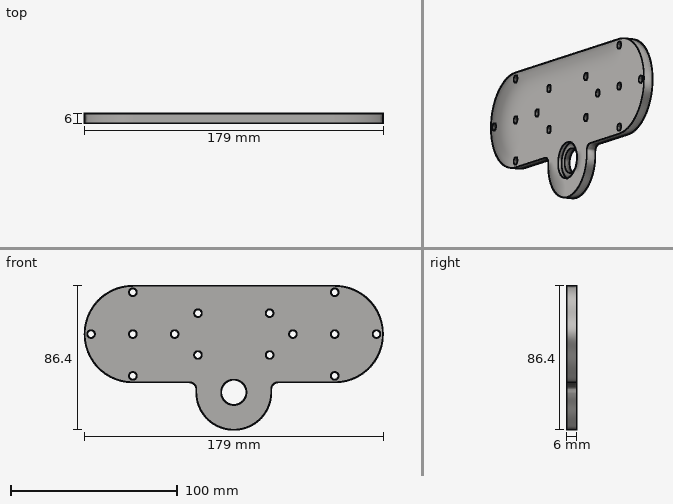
import cadquery as cq

length = 179.0
end_radius = 29.0
thickness = 6.0
end_center_x = length / 2 - end_radius

tab_radius = 22.5
tab_center_z = -34.9
tab_bore_diameter = 15.0
tab_fillet_radius = 4.0

recess_diameter = 22.0
recess_depth = 2.5

hole_diameter = 4.5
end_hole_offset = 25.0
inner_hole_x = 21.5
inner_hole_z = 12.5


def extrude_back(sketch):
    """Extrude an XZ sketch from Y = 0 to Y = thickness."""
    return sketch.extrude(-thickness)


def make_plate():
    return extrude_back(cq.Workplane("XZ").slot2D(length, 2 * end_radius))


def make_tab():
    """Round tab whose straight sides run up into the plate."""
    outline = (
        cq.Workplane("XZ")
        .moveTo(-tab_radius, 0)
        .lineTo(-tab_radius, tab_center_z)
        .threePointArc((0, tab_center_z - tab_radius), (tab_radius, tab_center_z))
        .lineTo(tab_radius, 0)
        .close()
    )
    return extrude_back(outline)


def fillet_tab_roots(body):
    """Round the two inside corners where the tab meets the plate."""
    for x in (-tab_radius, tab_radius):
        corner = cq.selectors.NearestToPointSelector((x, thickness / 2, -end_radius))
        body = body.edges("|Y").edges(corner).fillet(tab_fillet_radius)
    return body


def small_hole_centers():
    centers = []
    for side in (-1, 1):
        x = side * end_center_x
        centers.append((x, 0))
        for offset in (-end_hole_offset, end_hole_offset):
            centers.append((x + offset, 0))
            centers.append((x, offset))
        for z in (-inner_hole_z, inner_hole_z):
            centers.append((side * inner_hole_x, z))
    return centers


small_holes = extrude_back(
    cq.Workplane("XZ").pushPoints(small_hole_centers()).circle(hole_diameter / 2)
)
tab_bore = extrude_back(
    cq.Workplane("XZ").center(0, tab_center_z).circle(tab_bore_diameter / 2)
)
tab_recess = (
    cq.Workplane("XZ", origin=(0, thickness, tab_center_z))
    .circle(recess_diameter / 2)
    .extrude(recess_depth)
)

body = fillet_tab_roots(make_plate().union(make_tab()))
result = body.cut(small_holes).cut(tab_bore).cut(tab_recess)